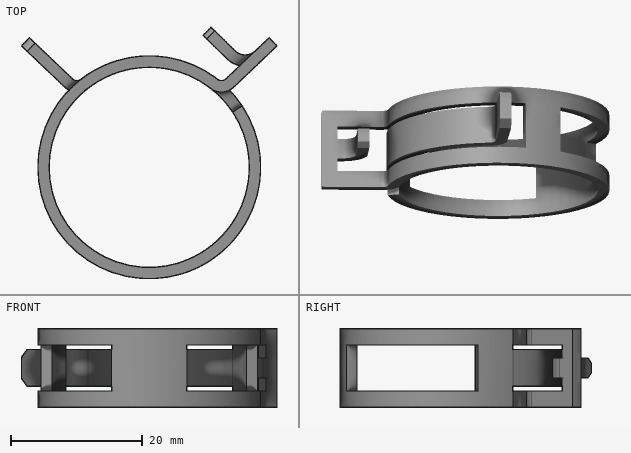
import cadquery as cq
import math

outer_radius = 17.0
thickness = 1.75
inner_radius = outer_radius - thickness
band_width = 12.0

half_span = 19.5
bend_radius = 1.0
bend_position = 52.3
tab_angle = 43.6

tongue_width = 5.65
tongue_chamfer = 1.2
slot_width = 7.0
end_angle = 33.5
window_upper_angle = 13.7
window_lower_angle = -70.3
slot_end_margin = 2.35

hook_width = 3.05
hook_chamfer = 0.78
hook_bend_radius = 2.22
hook_straight_start = 0.6
hook_slope = 44.5
hook_tip_height = 21.37


def polar(radius, degrees, centre=(0, 0)):
    angle = math.radians(degrees)
    return (centre[0] + radius * math.cos(angle), centre[1] + radius * math.sin(angle))


def extrude_centred(outline, width):
    return outline.close().extrude(width / 2, both=True)


bend_centre = polar(outer_radius + bend_radius, bend_position)
outer_bend_radius = bend_radius + thickness
face_direction = tab_angle - 90
tab_start = polar(outer_bend_radius, face_direction, bend_centre)
tab_length = (half_span - tab_start[0]) / math.cos(math.radians(tab_angle))


def bent_strip(tab_reach, ring_end, width):
    """Strip running down the right-hand tab, round the bend and counterclockwise to ring_end."""
    bend_to_ring = bend_position + 180
    bend_middle = (bend_to_ring + face_direction + 360) / 2
    ring_middle = (bend_position + ring_end) / 2
    inner_tab_start = polar(bend_radius, face_direction, bend_centre)
    outline = (
        cq.Workplane("XY")
        .moveTo(*polar(tab_reach, tab_angle, inner_tab_start))
        .lineTo(*inner_tab_start)
        .threePointArc(polar(bend_radius, bend_middle, bend_centre), polar(outer_radius, bend_position))
        .threePointArc(polar(outer_radius, ring_middle), polar(outer_radius, ring_end))
        .lineTo(*polar(inner_radius, ring_end))
        .threePointArc(polar(inner_radius, ring_middle), polar(inner_radius, bend_position))
        .threePointArc(polar(outer_bend_radius, bend_middle, bend_centre), tab_start)
        .lineTo(*polar(tab_reach, tab_angle, tab_start))
    )
    return extrude_centred(outline, width)


def ring_sector(start, end, width):
    middle = (start + end) / 2
    outline = (
        cq.Workplane("XY")
        .moveTo(*polar(outer_radius, start))
        .threePointArc(polar(outer_radius, middle), polar(outer_radius, end))
        .lineTo(*polar(inner_radius, end))
        .threePointArc(polar(inner_radius, middle), polar(inner_radius, start))
    )
    return extrude_centred(outline, width)


def chamfer_tip(strip, direction, size):
    """Chamfer the two corners at the end of a strip that points along direction."""
    along = polar(1, direction)
    tip = strip.faces(cq.selectors.DirectionMinMaxSelector(cq.Vector(*along, 0), True))
    return tip.edges("<Z or >Z").chamfer(size)


def make_band():
    slot_reach = tab_length - slot_end_margin
    band = bent_strip(tab_length, 360 + end_angle, band_width)
    band = band.cut(bent_strip(slot_reach, 180 - end_angle, slot_width))
    window = ring_sector(window_lower_angle, window_upper_angle, slot_width)
    return band.cut(window).cut(window.mirror("YZ"))


def make_tongue():
    strip = bent_strip(tab_length, 180 - end_angle, tongue_width)
    return chamfer_tip(strip, tab_angle, tongue_chamfer).mirror("YZ")


def make_hook():
    """Strip that leaves the slot end along the tab, then curls up towards -X."""
    slot_reach = tab_length - slot_end_margin
    outer_hook_radius = hook_bend_radius + thickness
    outer_start = polar(slot_reach, tab_angle, tab_start)
    bend_start = polar(slot_reach - hook_straight_start, tab_angle, tab_start)
    centre = polar(-outer_hook_radius, face_direction, bend_start)
    hook_direction = 180 - hook_slope
    finish_angle = hook_direction + 90
    bend_finish = polar(hook_bend_radius, finish_angle, centre)
    length = (hook_tip_height - bend_finish[1]) / math.sin(math.radians(hook_direction))
    outer_finish = polar(outer_hook_radius, finish_angle, centre)
    outline = (
        cq.Workplane("XY")
        .moveTo(*outer_start)
        .lineTo(*bend_start)
        .threePointArc(polar(outer_hook_radius, -90, centre), outer_finish)
        .lineTo(*polar(length, hook_direction, outer_finish))
        .lineTo(*polar(length, hook_direction, bend_finish))
        .lineTo(*bend_finish)
        .threePointArc(polar(hook_bend_radius, -90, centre), polar(hook_bend_radius, face_direction, centre))
        .lineTo(*polar(-thickness, face_direction, outer_start))
    )
    return chamfer_tip(extrude_centred(outline, hook_width), hook_direction, hook_chamfer)


result = make_band().union(make_hook()).union(make_tongue(), clean=False)